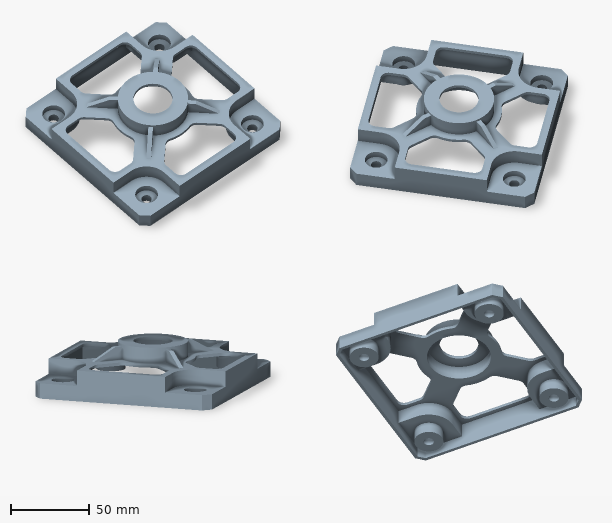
import cadquery as cq
import math

side = 120.0
total_height = 30.0
deck_height = 20.0
wall = 2.0
corner_chamfer = 5.0

pad_size = 30.0
pad_height = 10.0
pad_radius = pad_size / 2

screw_offset = side / 2 - pad_size / 2
screw_diameter = 6.6
counterbore_diameter = 14.5
counterbore_depth = 4.5
post_diameter = counterbore_diameter + 2 * wall

boss_diameter = 45.0
bore_diameter = 25.0

rim_width = 5.0
ring_radius = 27.5
spoke_half_width = 10.0
window_half_width = 25.1
window_fillet = 5.0

rib_width = 3.0
rib_drop = 1.5
rib_crest_radius = ring_radius
rib_outer_radius = 42.5

quarter_turns = [0, 90, 180, 270]


def around(shape, start_angle=0):
    """Four copies of a shape, a quarter turn apart about the Z axis, joined together."""
    copies = cq.Workplane("XY")
    for angle in quarter_turns:
        copies = copies.union(shape.rotate((0, 0, 0), (0, 0, 1), start_angle + angle))
    return copies


def stepped_block(inset):
    """Chamfered block with lowered corners and a round boss, its top and sides moved inward by inset."""
    width = side - 2 * inset
    chamfer = corner_chamfer - inset * (2 - math.sqrt(2))
    block = (
        cq.Workplane("XY")
        .rect(width, width)
        .extrude(deck_height - inset)
        .edges("|Z")
        .chamfer(chamfer)
    )
    notch_width = 2 * (pad_size + inset)
    notch = (
        cq.Workplane("XY", origin=(side / 2, side / 2, pad_height - inset))
        .rect(notch_width, notch_width)
        .extrude(total_height)
        .edges("|Z")
        .fillet(pad_radius + inset)
    )
    boss = cq.Workplane("XY").circle(boss_diameter / 2 - inset).extrude(total_height - inset)
    return block.cut(around(notch)).union(boss)


def screw_post():
    """Solid post from the base plane up to one pad."""
    post = cq.Workplane("XY", origin=(screw_offset, screw_offset, 0))
    return post.circle(post_diameter / 2).extrude(pad_height)


def screw_hole():
    """Through hole with its counterbore opening on the pad."""
    hole = cq.Workplane("XY", origin=(screw_offset, screw_offset, 0))
    shank = hole.circle(screw_diameter / 2).extrude(pad_height)
    counterbore = (
        hole.workplane(offset=pad_height - counterbore_depth)
        .circle(counterbore_diameter / 2)
        .extrude(counterbore_depth)
    )
    return shank.union(counterbore)


def window():
    """Cutter for the +Y opening, bounded by the rim, two spokes and the ring around the boss."""
    deck_bottom = deck_height - wall
    outer_y = side / 2 - rim_width
    apex_y = spoke_half_width * math.sqrt(2)
    shoulder_y = apex_y + window_half_width
    opening = (
        cq.Workplane("XY", origin=(0, 0, deck_bottom))
        .moveTo(0, apex_y)
        .lineTo(window_half_width, shoulder_y)
        .lineTo(window_half_width, outer_y)
        .lineTo(-window_half_width, outer_y)
        .lineTo(-window_half_width, shoulder_y)
        .close()
        .extrude(wall)
    )
    ring = cq.Workplane("XY", origin=(0, 0, deck_bottom)).circle(ring_radius).extrude(wall)
    return opening.cut(ring).edges("|Z").fillet(window_fillet)


def rib():
    """Rib along +X: flat crest beside the boss, then a slope down to the deck."""
    root_radius = boss_diameter / 2 - wall / 2
    foot_height = deck_height - wall / 2
    crest_height = total_height - rib_drop
    return (
        cq.Workplane("XZ")
        .moveTo(root_radius, foot_height)
        .lineTo(rib_outer_radius, foot_height)
        .lineTo(rib_outer_radius, deck_height)
        .lineTo(rib_crest_radius, crest_height)
        .lineTo(root_radius, crest_height)
        .close()
        .extrude(rib_width / 2, both=True)
    )


shell = stepped_block(0).cut(stepped_block(wall))
bore = cq.Workplane("XY").circle(bore_diameter / 2).extrude(total_height)

body = shell.union(around(screw_post())).union(around(rib(), 45))
result = body.cut(around(window())).cut(around(screw_hole())).cut(bore)